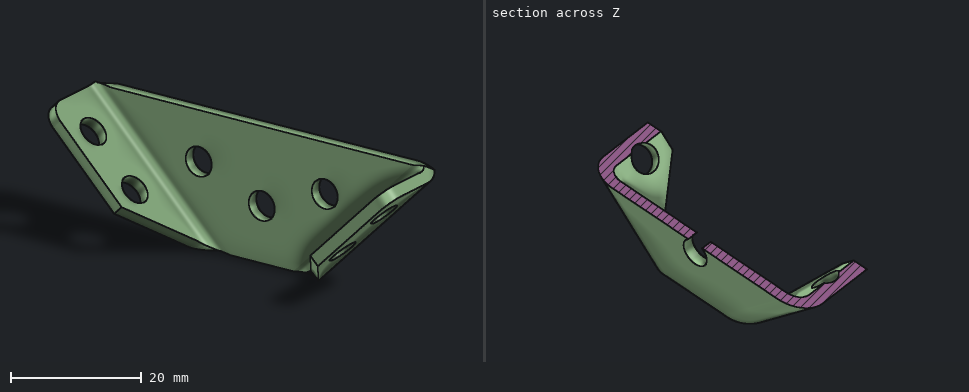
import cadquery as cq
import math


thickness = 2.0
inner_radius = 2.0
outer_radius = inner_radius + thickness
k_factor = 0.5
neutral_radius = inner_radius + k_factor * thickness
bend_angle = 90.0
bend_length = neutral_radius * math.radians(bend_angle)

overall_width = 65.46
overall_depth = 14.0
plate_height = 22.45
bottom_half_width = 5.9

hole_diameter = 4.84
plate_hole_spacing = 11.83
plate_hole_height = 14.0
centre_hole_height = 9.4
flange_hole_spacing = 11.0
flange_hole_end_distance = 6.7
flange_hole_depth = 9.0

corner_radius = 3.0

root2 = math.sqrt(2)
flange_depth = overall_depth - outer_radius
bend_top = plate_height * root2
flange_end = (overall_width / 2 - bottom_half_width) * root2 - outer_radius

bend_frame = cq.Plane(
    origin=(-bottom_half_width, -outer_radius, 0),
    xDir=(0, 1, 0),
    normal=(-1, 0, 1),
)


def make_plate():
    top_half_width = bottom_half_width + plate_height
    outline = [
        (-bottom_half_width, 0),
        (bottom_half_width, 0),
        (top_half_width, plate_height),
        (-top_half_width, plate_height),
    ]
    plate = cq.Workplane("XZ").polyline(outline).close().extrude(thickness)
    hole_centres = [
        (-plate_hole_spacing, plate_hole_height),
        (0, centre_hole_height),
        (plate_hole_spacing, plate_hole_height),
    ]
    holes = cq.Workplane("XZ").pushPoints(hole_centres).circle(hole_diameter / 2).extrude(thickness)
    return plate.cut(holes)


def bend_sector(start_height, radius_in, radius_out, start_angle):
    """Quarter-ring sketch about the bend axis, starting at the given angle in degrees."""

    def polar(radius, angle):
        return (radius * math.cos(math.radians(angle)), radius * math.sin(math.radians(angle)))

    middle_angle = start_angle + bend_angle / 2
    end_angle = start_angle + bend_angle
    return (
        cq.Workplane(bend_frame)
        .workplane(offset=start_height)
        .moveTo(*polar(radius_in, start_angle))
        .lineTo(*polar(radius_out, start_angle))
        .threePointArc(polar(radius_out, middle_angle), polar(radius_out, end_angle))
        .lineTo(*polar(radius_in, end_angle))
        .threePointArc(polar(radius_in, middle_angle), polar(radius_in, start_angle))
        .close()
    )


def make_bend():
    """Quarter-ring bend whose ends are the plate's straight edges wrapped into helicoids."""
    bend = bend_sector(0, inner_radius, outer_radius, 0).extrude(flange_end)
    cutter_clearance = thickness / 2
    cutter_in = inner_radius - cutter_clearance
    cutter_out = outer_radius + cutter_clearance
    bottom_cutter = bend_sector(0, cutter_in, cutter_out, 0).twistExtrude(bend_length, bend_angle)
    top_length = flange_end - bend_top
    top_twist = math.degrees(top_length / neutral_radius)
    top_cutter = bend_sector(bend_top, cutter_in, cutter_out, -bend_angle).twistExtrude(top_length, top_twist)
    return bend.cut(bottom_cutter).cut(top_cutter)


def make_flange():
    flange_plane = cq.Plane(
        origin=bend_frame.toWorldCoords((0, inner_radius, 0)),
        xDir=bend_frame.zDir,
        normal=bend_frame.yDir,
    )
    outline = [
        (bend_length, 0),
        (flange_end, 0),
        (flange_end, -flange_depth),
        (bend_length + flange_depth, -flange_depth),
    ]
    sketch = cq.Workplane(flange_plane)
    front_top_corner = cq.selectors.NearestToPointSelector(
        bend_frame.toWorldCoords((-flange_depth, inner_radius + thickness / 2, flange_end))
    )
    flange = sketch.polyline(outline).close().extrude(thickness)
    flange = flange.edges(front_top_corner).fillet(corner_radius)
    upper_hole = flange_end - flange_hole_end_distance
    hole_y = outer_radius - flange_hole_depth
    hole_centres = [
        (upper_hole, hole_y),
        (upper_hole - flange_hole_spacing, hole_y),
    ]
    holes = sketch.pushPoints(hole_centres).circle(hole_diameter / 2).extrude(thickness)
    return flange.cut(holes)


side = make_bend().union(make_flange())
result = make_plate().union(side).union(side.mirror("YZ"))